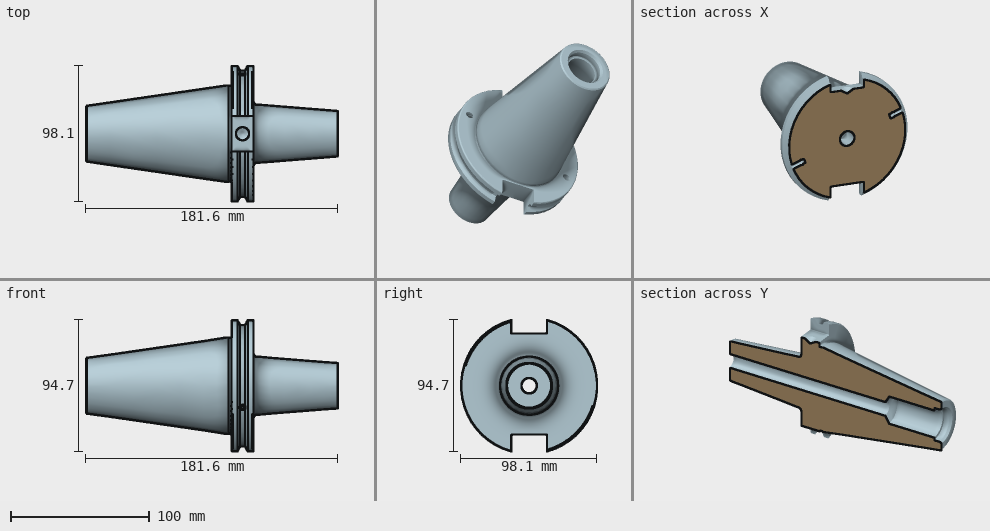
import cadquery as cq
import math


gauge_diameter = 69.85
taper_length = 101.6
taper_ratio = 7 / 24
shank_end_chamfer = 0.8
gauge_land_end = 0.95
relief_diameter = 69.25
relief_fillet = 0.7

flange_diameter = 98.1
flange_back = 3.18
flange_front = 19.05
flange_edge_radius = 1.0
groove_centre = 11.13
groove_floor_width = 3.7
groove_depth = 3.4
groove_wall_angle = 30

slot_width = 25.7
slot_corner_radius = 0.6
upper_slot_floor = 37.7
lower_slot_floor = 35.3
dimple_diameter = 9.53
drill_point_angle = 118

nose_end = 80.0
nose_root_diameter = 42.0
nose_tip_diameter = 33.0
nose_root_fillet = 2.2
nose_taper_start = 22.9
nose_tip_chamfer = 0.6

mouth_diameter = 28.6
mouth_depth = 1.9
counterbore_diameter = 26.2
counterbore_depth = 6.3
thread_bore_diameter = 21.97
thread_bore_depth = 45.0
through_diameter = 10.92

coolant_angle = 20
coolant_radius = 41.9
coolant_tilt = 30
coolant_mouth_diameter = 5.0
coolant_mouth_depth = 2.7
coolant_diameter = 4.2
coolant_depth = 9.0
outlet_mouth_diameter = 4.13
outlet_diameter = 3.24
outlet_depth = 10.0

shank_end = -taper_length
groove_floor_radius = flange_diameter / 2 - groove_depth
drill_point_slope = 1 / math.tan(math.radians(drill_point_angle / 2))


def make_body():
    """Revolve the outer profile: shank, grooved flange and nose."""
    gauge_radius = gauge_diameter / 2
    relief_radius = relief_diameter / 2
    shank_end_radius = gauge_radius - taper_length * taper_ratio / 2
    chamfered_taper_radius = shank_end_radius + shank_end_chamfer * taper_ratio / 2
    flange_radius = flange_diameter / 2
    edge_start_radius = flange_radius - flange_edge_radius
    floor_half = groove_floor_width / 2
    mouth_half = floor_half + groove_depth * math.tan(math.radians(groove_wall_angle))
    root_radius = nose_root_diameter / 2
    tip_radius = nose_tip_diameter / 2
    profile = (
        cq.Workplane("XY")
        .moveTo(shank_end, 0)
        .lineTo(shank_end, shank_end_radius - shank_end_chamfer)
        .lineTo(shank_end + shank_end_chamfer, chamfered_taper_radius)
        .lineTo(0, gauge_radius)
        .lineTo(gauge_land_end, gauge_radius)
        .lineTo(gauge_land_end, relief_radius)
        .lineTo(flange_back - relief_fillet, relief_radius)
        .radiusArc((flange_back, relief_radius + relief_fillet), -relief_fillet)
        .lineTo(flange_back, edge_start_radius)
        .radiusArc((flange_back + flange_edge_radius, flange_radius), flange_edge_radius)
        .lineTo(groove_centre - mouth_half, flange_radius)
        .lineTo(groove_centre - floor_half, groove_floor_radius)
        .lineTo(groove_centre + floor_half, groove_floor_radius)
        .lineTo(groove_centre + mouth_half, flange_radius)
        .lineTo(flange_front - flange_edge_radius, flange_radius)
        .radiusArc((flange_front, edge_start_radius), flange_edge_radius)
        .lineTo(flange_front, root_radius + nose_root_fillet)
        .radiusArc((flange_front + nose_root_fillet, root_radius), -nose_root_fillet)
        .lineTo(nose_taper_start, root_radius)
        .lineTo(nose_end - nose_tip_chamfer, tip_radius)
        .lineTo(nose_end, tip_radius - nose_tip_chamfer)
        .lineTo(nose_end, 0)
        .close()
    )
    return profile.revolve(360, (0, 0, 0), (1, 0, 0))


def make_axial_bore():
    """Stepped bore from the shank end, with a drill point leading into the through hole."""
    mouth_radius = mouth_diameter / 2
    counterbore_radius = counterbore_diameter / 2
    thread_radius = thread_bore_diameter / 2
    through_radius = through_diameter / 2
    point_start = shank_end + thread_bore_depth
    point_end = point_start + (thread_radius - through_radius) * drill_point_slope
    profile = (
        cq.Workplane("XY")
        .moveTo(shank_end, 0)
        .lineTo(shank_end, mouth_radius)
        .lineTo(shank_end + mouth_depth, counterbore_radius)
        .lineTo(shank_end + counterbore_depth, counterbore_radius)
        .lineTo(shank_end + counterbore_depth, thread_radius)
        .lineTo(point_start, thread_radius)
        .lineTo(point_end, through_radius)
        .lineTo(nose_end, through_radius)
        .lineTo(nose_end, 0)
        .close()
    )
    return profile.revolve(360, (0, 0, 0), (1, 0, 0))


def make_drive_slot(floor_height, side):
    """Slot across the flange on the +Z (side = 1) or -Z (side = -1) side."""
    flange_width = flange_front - flange_back
    slot_height = flange_diameter / 2 - floor_height
    middle = ((flange_back + flange_front) / 2, 0, side * (floor_height + slot_height / 2))
    slot = cq.Workplane("XY").box(flange_width, slot_width, slot_height)
    floor_side = "<Z" if side > 0 else ">Z"
    slot = slot.faces(floor_side).edges("|X").fillet(slot_corner_radius)
    return slot.translate(middle)


def make_dimple():
    """Conical drill dimple in the floor of the upper slot."""
    radius = dimple_diameter / 2
    depth = radius * drill_point_slope
    cone = cq.Solid.makeCone(
        radius, 0, depth, cq.Vector(groove_centre, 0, upper_slot_floor), cq.Vector(0, 0, -1)
    )
    return cq.Workplane(obj=cone)


def make_coolant_inlet(outward):
    """Inclined stepped hole entering the flange back face and leaning towards the axis."""
    tilt = math.radians(coolant_tilt)
    start = outward * coolant_radius + cq.Vector(flange_back, 0, 0)
    direction = cq.Vector(math.cos(tilt), 0, 0) - outward * math.sin(tilt)
    lead = coolant_mouth_diameter
    mouth = cq.Solid.makeCylinder(
        coolant_mouth_diameter / 2, coolant_mouth_depth + lead, start - direction * lead, direction
    )
    bore = cq.Solid.makeCylinder(coolant_diameter / 2, coolant_depth, start, direction)
    return cq.Workplane(obj=mouth).union(cq.Workplane(obj=bore))


def make_coolant_outlet(outward):
    """Radial hole with a 45 degree countersink in the groove floor."""
    mouth_radius = outlet_mouth_diameter / 2
    radius = outlet_diameter / 2
    start = outward * groove_floor_radius + cq.Vector(groove_centre, 0, 0)
    clearance = cq.Solid.makeCylinder(mouth_radius, groove_depth, start, outward)
    countersink = cq.Solid.makeCone(mouth_radius, radius, mouth_radius - radius, start, outward * -1)
    bore = cq.Solid.makeCylinder(radius, outlet_depth, start, outward * -1)
    return cq.Workplane(obj=clearance).union(cq.Workplane(obj=countersink)).union(cq.Workplane(obj=bore))


result = make_body().cut(make_axial_bore())
result = result.cut(make_drive_slot(upper_slot_floor, 1))
result = result.cut(make_drive_slot(lower_slot_floor, -1))
result = result.cut(make_dimple())
for angle in (coolant_angle, coolant_angle + 180):
    outward = cq.Vector(0, math.cos(math.radians(angle)), math.sin(math.radians(angle)))
    result = result.cut(make_coolant_inlet(outward))
    result = result.cut(make_coolant_outlet(outward))